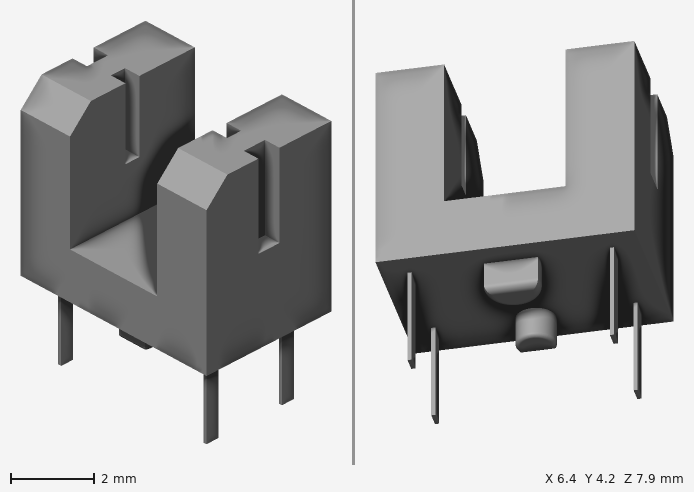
import cadquery as cq

width = 6.4
depth = 4.2
total_height = 7.9
lead_length = 2.5
housing_height = total_height - lead_length
gap_width = 3.0
floor_height = 1.5
chamfer_size = 0.7

slot_depth = 0.5
outer_slot_width = 0.71
outer_slot_height = 2.7
inner_slot_width = 0.475
inner_slot_height = 2.3

lead_thickness = 0.1
lead_width = 0.4
lead_spacing_x = 5.0
lead_spacing_y = 2.54

peg_height = 0.8
peg_offset = 1.25
rear_peg_diameter = 1.4
rear_peg_flat = 1.45
rear_peg_fillet = 0.2
front_peg_diameter = 1.0
front_peg_flat = 1.485
front_peg_fillet = 0.1


def make_housing():
    """Block with its underside on Z = 0, a gap in the middle and chamfered tower tops."""
    block = cq.Workplane("XY").box(width, depth, housing_height, centered=(True, True, False))
    block = block.faces(">Z").edges("<Y").chamfer(chamfer_size)
    gap = cq.Workplane("XY").workplane(offset=floor_height).rect(gap_width, depth)
    return block.cut(gap.extrude(housing_height - floor_height))


def make_slot(center_x, slot_width, slot_height):
    """Cutter for a slot open at the top of a tower."""
    return (
        cq.Workplane("XY", origin=(center_x, 0, housing_height - slot_height))
        .rect(slot_depth, slot_width)
        .extrude(slot_height)
    )


def make_leads():
    """Four leads, starting inside the bottom of the housing floor."""
    root = floor_height / 2
    return (
        cq.Workplane("XY", origin=(0, 0, root))
        .rarray(lead_spacing_x, lead_spacing_y, 2, 2)
        .rect(lead_thickness, lead_width)
        .extrude(-lead_length - root)
    )


def make_peg(side, diameter, flat, fillet):
    """D-shaped peg below the housing; side is +1 for the rear and -1 for the front."""
    pin = cq.Workplane("XY", origin=(0, side * peg_offset, 0)).circle(diameter / 2).extrude(-peg_height)
    pin = pin.faces("<Z").edges().fillet(fillet)
    bar = cq.Workplane("XY", origin=(0, side * (flat - diameter), 0))
    bar = bar.rect(diameter, 2 * diameter)
    outer_side = ">Y" if side > 0 else "<Y"
    bar = bar.extrude(-peg_height).faces("<Z").edges(outer_side).fillet(fillet)
    return pin.intersect(bar)


outer_slot_x = (width - slot_depth) / 2
inner_slot_x = (gap_width + slot_depth) / 2

result = make_housing()
for tower in (-1, 1):
    result = result.cut(make_slot(tower * outer_slot_x, outer_slot_width, outer_slot_height))
    result = result.cut(make_slot(tower * inner_slot_x, inner_slot_width, inner_slot_height))
result = result.union(make_leads())
result = result.union(make_peg(1, rear_peg_diameter, rear_peg_flat, rear_peg_fillet))
result = result.union(make_peg(-1, front_peg_diameter, front_peg_flat, front_peg_fillet))